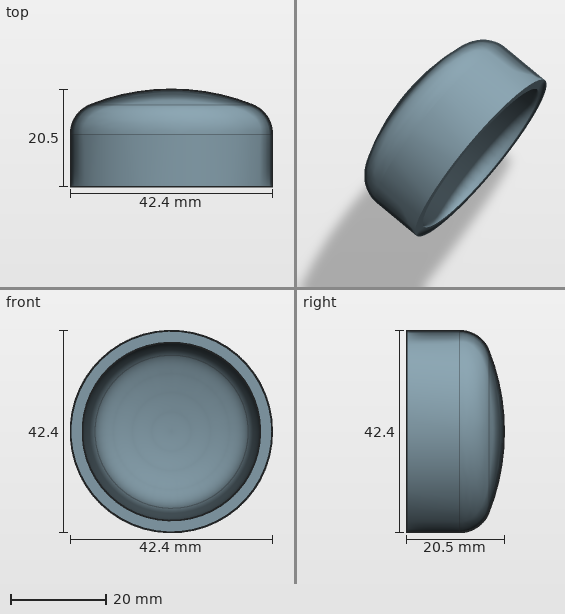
import cadquery as cq
import math

outer_diameter = 42.4
inner_diameter = 37.4
total_height = 20.5
skirt_height = 11.02
knuckle_radius = 6.65

outer_radius = outer_diameter / 2
inner_radius = inner_diameter / 2
wall = outer_radius - inner_radius

head_rise = total_height - skirt_height
knuckle_offset = outer_radius - knuckle_radius
crown_radius = (knuckle_offset**2 + head_rise**2 - knuckle_radius**2) / (2 * (head_rise - knuckle_radius))

tangent_angle = math.asin(knuckle_offset / (crown_radius - knuckle_radius))


def dished_body(inset):
    """Solid of revolution about Y, with its skin set in from the outer surface by inset."""
    shoulder = knuckle_radius - inset

    def shoulder_point(angle):
        return (
            knuckle_offset + shoulder * math.sin(angle),
            skirt_height + shoulder * math.cos(angle),
        )

    crown_center = total_height - crown_radius
    crown = crown_radius - inset
    crown_mid = (
        crown * math.sin(tangent_angle / 2),
        crown_center + crown * math.cos(tangent_angle / 2),
    )
    return (
        cq.Workplane("XY")
        .moveTo(0, 0)
        .lineTo(outer_radius - inset, 0)
        .lineTo(outer_radius - inset, skirt_height)
        .threePointArc(shoulder_point((math.pi / 2 + tangent_angle) / 2), shoulder_point(tangent_angle))
        .threePointArc(crown_mid, (0, total_height - inset))
        .close()
        .revolve(360, (0, 0, 0), (0, 1, 0))
    )


result = dished_body(0).cut(dished_body(wall))